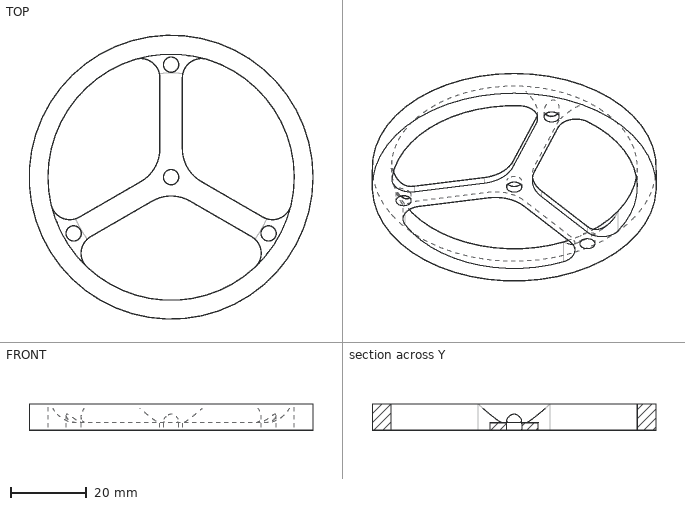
import cadquery as cq
import math

outer_diameter = 75.0
rim_height = 7.0
inner_radius = 32.5

spoke_count = 3
spoke_width = 6.0
spoke_thickness = 2.0
first_spoke_angle = 90.0
hub_fillet = 10.0
rim_fillet = 5.0

cove_radius = rim_height - spoke_thickness
cove_start_radius = inner_radius - cove_radius

hole_diameter = 4.0
hole_circle_radius = 29.7


def spoked_disc():
    """Rim and full-height spokes, with rounded corners in each opening."""
    rim = cq.Workplane("XY").circle(outer_diameter / 2).circle(inner_radius).extrude(rim_height)
    spoke_length = (outer_diameter / 2 + inner_radius) / 2
    spoke = (
        cq.Workplane("XY")
        .rect(spoke_length, spoke_width)
        .extrude(rim_height)
        .translate((spoke_length / 2, 0, 0))
    )
    body = rim
    for index in range(spoke_count):
        angle = first_spoke_angle + index * 360 / spoke_count
        body = body.union(spoke.rotate((0, 0, 0), (0, 0, 1), angle))

    hub_zone = cq.selectors.BoxSelector(
        (-spoke_width, -spoke_width, 0), (spoke_width, spoke_width, rim_height)
    )
    body = body.edges("|Z").edges(hub_zone).fillet(hub_fillet)

    corner_distance = math.sqrt(inner_radius**2 - (spoke_width / 2) ** 2)
    for index in range(spoke_count):
        angle = math.radians(first_spoke_angle + index * 360 / spoke_count)
        for side in (-spoke_width / 2, spoke_width / 2):
            corner = (
                corner_distance * math.cos(angle) - side * math.sin(angle),
                corner_distance * math.sin(angle) + side * math.cos(angle),
                rim_height / 2,
            )
            body = body.edges("|Z").edges(cq.selectors.NearestToPointSelector(corner)).fillet(rim_fillet)
    return body


def spoke_clearance():
    """Revolved space above the spokes, with a concave quarter-round at the rim."""
    arc_offset = cove_radius * math.sin(math.radians(45))
    return (
        cq.Workplane("XZ")
        .moveTo(0, spoke_thickness)
        .lineTo(cove_start_radius, spoke_thickness)
        .threePointArc(
            (cove_start_radius + arc_offset, rim_height - arc_offset),
            (inner_radius, rim_height),
        )
        .lineTo(0, rim_height)
        .close()
        .revolve(360, (0, 0, 0), (0, 1, 0))
    )


def holes():
    """Centre hole and one hole at the rim end of each spoke."""
    centre_hole = cq.Workplane("XY").circle(hole_diameter / 2).extrude(rim_height)
    spoke_holes = (
        cq.Workplane("XY")
        .polarArray(hole_circle_radius, first_spoke_angle, 360, spoke_count)
        .circle(hole_diameter / 2)
        .extrude(rim_height)
    )
    return centre_hole.union(spoke_holes)


result = spoked_disc().cut(spoke_clearance()).cut(holes())